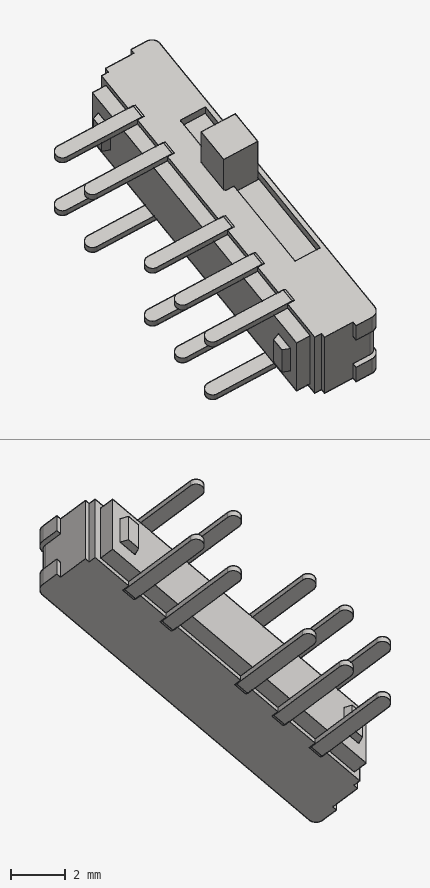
import cadquery as cq


pin_width = 0.6
pin_thickness = 0.3
pin_positions = (-5, -3, 1, 3, 5)
pin_root_y = -2.3
pin_tip_y = -6.0
pin_proud = 0.05
pin_root_slope = 0.1

shell_height = 3.5
shell_width = 14.2
shell_front_y = -2.6
shell_bottom = pin_proud
shell_top = shell_bottom + shell_height

end_plate_width = 14.6
end_plate_front_y = -2.3
end_plate_corner_radius = 0.3
tab_width = 15.0
tab_front_y = -1.05
tab_height = 0.9
tab_corner_radius = 0.35

base_width = 13.6
base_front_y = -3.2
base_margin = 0.25
nub_spacing = 12.0
nub_root_width = 0.8
nub_tip_width = 0.55
nub_height = 1.4
nub_length = 0.3

rear_wall = 0.2
slot_width = 7.65
slot_front_y = -1.3
slot_depth = 0.4

knob_size = 1.5
knob_x = -1.0
knob_rear_y = -0.25
knob_rise = 2.0
knob_chamfer = 0.1


def block(width, rear_y, front_y, bottom, top, center_x=0.0):
    """Box centred on center_x, spanning the given Y and Z limits."""
    return (
        cq.Workplane("XY", origin=(center_x, (rear_y + front_y) / 2, bottom))
        .box(width, rear_y - front_y, top - bottom, centered=(True, True, False))
    )


def rounded_rear_block(width, front_y, bottom, top, radius):
    """Block against the rear wall with its two upright rear edges rounded."""
    return block(width, 0, front_y, bottom, top).edges("|Z and >Y").fillet(radius)


def make_shell():
    shell = rounded_rear_block(
        end_plate_width, end_plate_front_y, shell_bottom, shell_top, end_plate_corner_radius
    )
    shell = shell.union(block(shell_width, end_plate_front_y, shell_front_y, shell_bottom, shell_top))
    for tab_bottom in (shell_bottom, shell_top - tab_height):
        tabs = rounded_rear_block(
            tab_width, tab_front_y, tab_bottom, tab_bottom + tab_height, tab_corner_radius
        )
        shell = shell.union(tabs)
    slot = block(slot_width, -rear_wall, slot_front_y, shell_top - slot_depth, shell_top)
    return shell.cut(slot)


def make_nub(center_x):
    """Locating nub whose two sides taper towards its tip."""
    tip_y = base_front_y - nub_length
    middle_z = shell_bottom + shell_height / 2
    return (
        cq.Workplane("XY", origin=(center_x, 0, middle_z))
        .moveTo(-nub_root_width / 2, base_front_y)
        .lineTo(-nub_tip_width / 2, tip_y)
        .lineTo(nub_tip_width / 2, tip_y)
        .lineTo(nub_root_width / 2, base_front_y)
        .close()
        .extrude(nub_height / 2, both=True)
    )


def make_base():
    base = block(
        base_width, shell_front_y, base_front_y, shell_bottom + base_margin, shell_top - base_margin
    )
    for center_x in (-nub_spacing / 2, nub_spacing / 2):
        base = base.union(make_nub(center_x))
    return base


def make_pin(center_x):
    """Upper pin: round tip, and a slope up from the shell surface at the root."""
    top = shell_top + pin_proud
    half_width = pin_width / 2
    tip_center_y = pin_tip_y + half_width
    pin = (
        cq.Workplane("XY", origin=(center_x, 0, top - pin_thickness))
        .moveTo(half_width, pin_root_y)
        .lineTo(half_width, tip_center_y)
        .threePointArc((0, pin_tip_y), (-half_width, tip_center_y))
        .lineTo(-half_width, pin_root_y)
        .close()
        .extrude(pin_thickness)
    )
    return pin.edges(">Z and >Y").chamfer(pin_proud, pin_root_slope)


def make_pins():
    """Upper row of pins and its mirror image below the body."""
    upper_row = make_pin(pin_positions[0])
    for center_x in pin_positions[1:]:
        upper_row = upper_row.union(make_pin(center_x))
    middle_z = shell_bottom + shell_height / 2
    return upper_row.union(upper_row.mirror("XY", (0, 0, middle_z)))


def make_knob():
    """Square knob with its lower front edge chamfered, on a stem reaching down to the slot floor."""
    knob_front_y = knob_rear_y - knob_size
    knob = block(knob_size, knob_rear_y, knob_front_y, shell_top, shell_top + knob_rise, knob_x)
    knob = knob.edges("<Z and <Y").chamfer(knob_chamfer)
    stem = block(knob_size, knob_rear_y, slot_front_y, shell_top - slot_depth, shell_top, knob_x)
    return knob.union(stem)


result = make_shell().union(make_base()).union(make_pins()).union(make_knob())